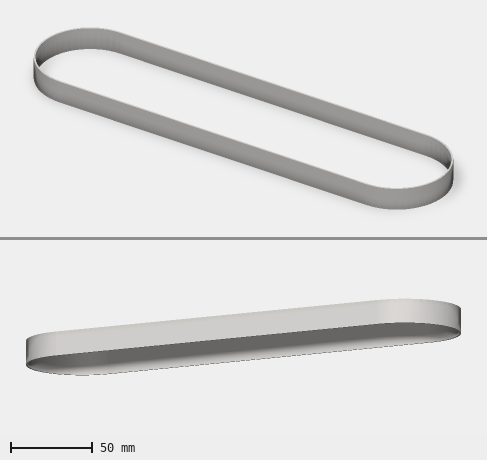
import cadquery as cq

length = 291.7
width = 69.0
height = 15.0
wall = 1.15

outer = cq.Workplane("XY").slot2D(length, width).extrude(height)
opening = cq.Workplane("XY").slot2D(length - 2 * wall, width - 2 * wall).extrude(height)

result = outer.cut(opening)